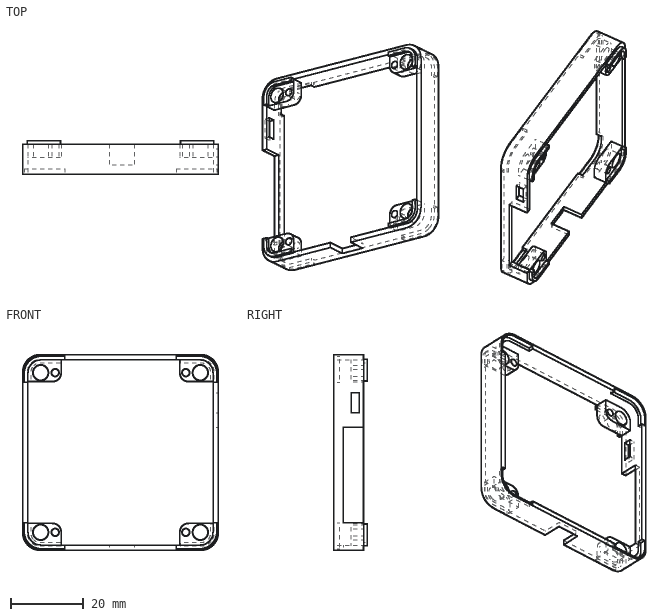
import cadquery as cq

frame_size = 54.0
frame_depth = 8.3
corner_radius = 5.0
wall = 1.5
half = frame_size / 2
inner_half = half - wall

rebate_lip = 0.5
rebate_depth = 1.5
rebate_length_x = 11.7
rebate_length_z = 7.7

boss_length_x = 10.7
boss_length_z = 7.5
boss_round = 2.5
boss_thickness = 3.6
post_hole_diameter = 4.2
post_hole_inset = 5.0
screw_hole_diameter = 2.0
screw_hole_inset_x = 9.0
screw_hole_inset_z = 5.0

lip_inset = 1.25
lip_width = 1.0
lip_height = 1.0
lip_outer_radius = 3.6
lip_length_x = 10.5
lip_length_z = 7.3

opening_depth = 5.65
bottom_opening_width = 6.9
bottom_opening_center_x = 0.4
side_opening_bottom = 7.7
side_opening_height = 26.2
side_opening_start = -half + side_opening_bottom
side_opening_end = side_opening_start + side_opening_height

window_height = 5.6
window_width = 2.2
window_from_back = 1.2
window_above_opening = 4.0


def box(x_range, y_range, z_range):
    """Axis-aligned box between the given limits."""
    size = [end - start for start, end in (x_range, y_range, z_range)]
    return cq.Workplane("XY").box(*size, centered=False).translate(
        (x_range[0], y_range[0], z_range[0])
    )


def rounded_square(inset, radius, y_start, depth):
    """Square prism along +Y, inset from the outer faces of the frame, with rounded corners."""
    side = frame_size - 2 * inset
    prism = cq.Workplane("XZ", origin=(0, y_start, 0)).rect(side, side).extrude(-depth)
    return prism.edges("|Y").fillet(radius)


def at_corners(feature):
    """Copies of a feature modelled in the (-X, -Z) corner, mirrored into all four corners."""
    pair = feature.union(feature.mirror("YZ"))
    return pair.union(pair.mirror("XY"))


def corner_block(length_x, length_z, y_start, depth):
    """Block in the (-X, -Z) corner, measured from the outer faces of the frame."""
    return box((-half, -half + length_x), (y_start, y_start + depth), (-half, -half + length_z))


def make_frame():
    outer = rounded_square(0, corner_radius, 0, frame_depth)
    return outer.cut(rounded_square(wall, corner_radius - wall, 0, frame_depth))


def make_rebates():
    outline = rounded_square(rebate_lip, corner_radius - rebate_lip, 0, rebate_depth)
    corners = at_corners(corner_block(rebate_length_x, rebate_length_z, 0, rebate_depth))
    return corners.intersect(outline)


def make_bosses():
    y_start = frame_depth - boss_thickness
    block = corner_block(boss_length_x, boss_length_z, y_start, boss_thickness)
    block = block.edges("|Y and >X and >Z").fillet(boss_round)
    outline = rounded_square(0, corner_radius, y_start, boss_thickness)
    return at_corners(block).intersect(outline)


def make_lips():
    ring = rounded_square(lip_inset, lip_outer_radius, frame_depth, lip_height)
    inside = rounded_square(lip_inset + lip_width, lip_outer_radius - lip_width, frame_depth, lip_height)
    corners = at_corners(corner_block(lip_length_x, lip_length_z, frame_depth, lip_height))
    return ring.cut(inside).intersect(corners)


def make_holes(diameter, inset_x, inset_z):
    plane = cq.Workplane("XZ", origin=(-half + inset_x, 0, -half + inset_z))
    return at_corners(plane.circle(diameter / 2).extrude(-(frame_depth + lip_height)))


def make_bottom_opening():
    start_x = bottom_opening_center_x - bottom_opening_width / 2
    return box(
        (start_x, start_x + bottom_opening_width),
        (frame_depth - opening_depth, frame_depth),
        (-half, -inner_half),
    )


def make_side_opening():
    return box(
        (inner_half, half),
        (frame_depth - opening_depth, frame_depth),
        (side_opening_start, side_opening_end),
    )


def make_window():
    end_y = frame_depth - window_from_back
    start_z = side_opening_end + window_above_opening
    return box((inner_half, half), (end_y - window_width, end_y), (start_z, start_z + window_height))


result = make_frame().cut(make_rebates()).union(make_bosses()).union(make_lips())
result = result.cut(make_holes(post_hole_diameter, post_hole_inset, post_hole_inset))
result = result.cut(make_holes(screw_hole_diameter, screw_hole_inset_x, screw_hole_inset_z))
result = result.cut(make_bottom_opening()).cut(make_side_opening()).cut(make_window())